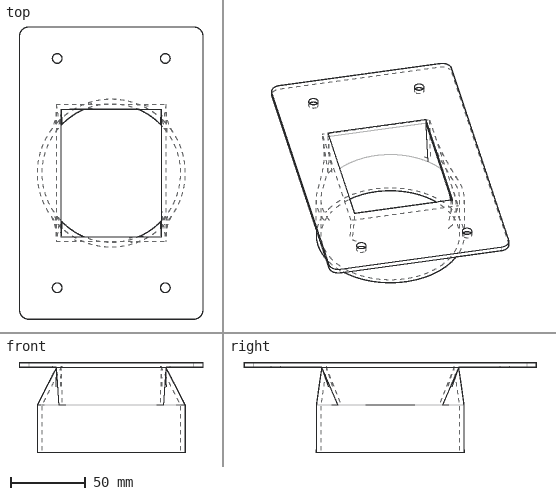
import cadquery as cq
import math

PLATE_X = 123.09
PLATE_Y = 195.93
PLATE_THICKNESS = 3.175
CORNER_RADIUS = 6.35

HOLE_DIAMETER = 6.35
HOLE_SPACING_X = 72.4
HOLE_SPACING_Y = 153.6

WALL = 3.175
COLLAR_DIAMETER = 99.2
COLLAR_HEIGHT = 31.75
TRANSITION_HEIGHT = 25.4
OPENING_X = 67.1
OPENING_Y = 85.5

PLATE_BOTTOM = COLLAR_HEIGHT + TRANSITION_HEIGHT


def rectangle_wire(size_x, size_y, z):
    """Closed rectangle centred on the duct axis, starting at the (-X, -Y) corner."""
    x = size_x / 2
    y = size_y / 2
    corners = [(-x, -y, z), (x, -y, z), (x, y, z), (-x, y, z)]
    return cq.Wire.makePolygon([cq.Vector(*corner) for corner in corners], close=True)


def quartered_circle_wire(radius, z):
    """Circle split into four arcs at its diagonals, one arc per rectangle side."""
    half_arc = 45

    def point(degrees):
        angle = math.radians(degrees)
        return cq.Vector(radius * math.cos(angle), radius * math.sin(angle), z)

    arcs = [
        cq.Edge.makeThreePointArc(point(middle - half_arc), point(middle), point(middle + half_arc))
        for middle in (-90, 0, 90, 180)
    ]
    return cq.Wire.assembleEdges(arcs)


def duct_body(diameter, mouth_x, mouth_y):
    """Solid cylinder that blends upward into a rectangular mouth."""
    radius = diameter / 2
    collar = cq.Workplane("XY").circle(radius).extrude(COLLAR_HEIGHT)
    transition = cq.Solid.makeLoft(
        [
            quartered_circle_wire(radius, COLLAR_HEIGHT),
            rectangle_wire(mouth_x, mouth_y, PLATE_BOTTOM),
        ],
        ruled=True,
    )
    return collar.union(cq.Workplane(obj=transition))


def mounting_plate():
    """Rounded plate with the rectangular opening and four screw holes."""
    plate = (
        cq.Workplane("XY", origin=(0, 0, PLATE_BOTTOM))
        .rect(PLATE_X, PLATE_Y)
        .extrude(PLATE_THICKNESS)
        .edges("|Z")
        .fillet(CORNER_RADIUS)
    )
    screw_holes = (
        cq.Workplane("XY", origin=(0, 0, PLATE_BOTTOM))
        .rect(HOLE_SPACING_X, HOLE_SPACING_Y, forConstruction=True)
        .vertices()
        .circle(HOLE_DIAMETER / 2)
        .extrude(PLATE_THICKNESS)
    )
    opening = (
        cq.Workplane("XY", origin=(0, 0, PLATE_BOTTOM))
        .rect(OPENING_X, OPENING_Y)
        .extrude(PLATE_THICKNESS)
    )
    return plate.cut(screw_holes).cut(opening)


outer_duct = duct_body(COLLAR_DIAMETER, OPENING_X + 2 * WALL, OPENING_Y + 2 * WALL)
inner_duct = duct_body(COLLAR_DIAMETER - 2 * WALL, OPENING_X, OPENING_Y)

result = outer_duct.cut(inner_duct).union(mounting_plate())